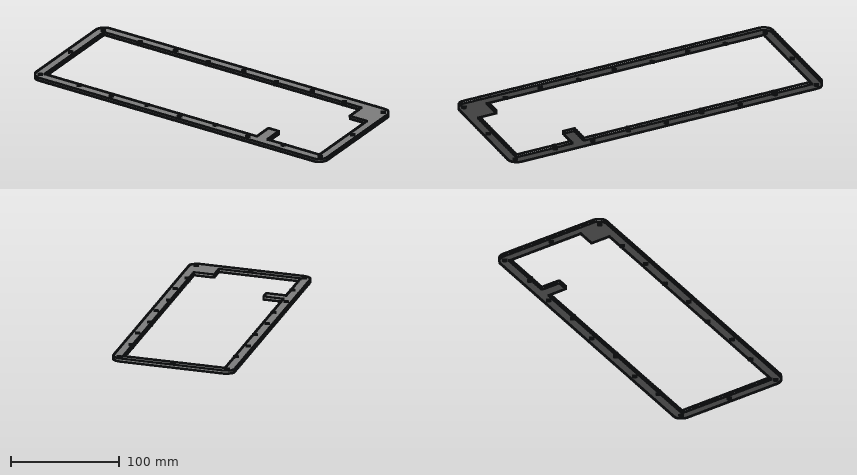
import cadquery as cq
import math

length = 324.0
footprint_depth = 114.3
thickness = 3.08
tilt = 3.0
tilt_rad = math.radians(tilt)
depth = (footprint_depth - thickness * math.sin(tilt_rad)) / math.cos(tilt_rad)
corner_radius = 9.0
rail_width = 9.0

pad_reach = 28.2
tab_length = 18.8
tab_width = 11.5
tab_center_x = 89.0

hole_diameter = 3.2
lug_hole_diameter = 3.1
lug_diameter = 4.2
plain_hole_pitch = 76.0
lug_x_inner = 38.0
lug_x_outer = 113.7
corner_hole_inset = 6.0
side_hole_inset = 5.0
rail_hole_inset = 5.0
lug_hole_inset = 7.5

half_length = length / 2
half_depth = depth / 2


def block(x_min, x_max, y_min, y_max):
    """Full-thickness rectangular block between the given limits."""
    return cq.Workplane("XY").box(
        x_max - x_min, y_max - y_min, thickness, centered=False
    ).translate((x_min, y_min, 0))


def cylinders(points, diameter):
    """Full-thickness cylinders at the given points."""
    return cq.Workplane("XY").pushPoints(points).circle(diameter / 2).extrude(thickness)


def mirrored_rows(x_positions, inset):
    """Points in two rows, set in from the front and back edges."""
    row_y = half_depth - inset
    return [(x, y) for x in x_positions for y in (-row_y, row_y)]


corner_x = half_length - corner_hole_inset
side_x = half_length - side_hole_inset
plain_points = mirrored_rows([-corner_x, corner_x], corner_hole_inset)
plain_points += mirrored_rows([-plain_hole_pitch, 0, plain_hole_pitch], rail_hole_inset)
plain_points += [(-side_x, 0), (side_x, 0)]
lug_points = mirrored_rows([-lug_x_outer, -lug_x_inner, lug_x_inner, lug_x_outer], lug_hole_inset)

frame = cq.Workplane("XY").rect(length, depth).extrude(thickness).edges("|Z").fillet(corner_radius)
window_x = half_length - rail_width
window_y = half_depth - rail_width
frame = frame.cut(block(-window_x, window_x, -window_y, window_y))

pad = block(half_length - pad_reach, window_x, half_depth - pad_reach, window_y)

tab = block(
    tab_center_x - tab_width / 2, tab_center_x + tab_width / 2,
    -window_y, tab_length - window_y,
)
frame = frame.union(pad).union(tab)

frame = frame.union(cylinders(lug_points, lug_diameter))

frame = frame.cut(cylinders(plain_points, hole_diameter))
frame = frame.cut(cylinders(lug_points, lug_hole_diameter))

result = frame.rotate((0, 0, 0), (1, 0, 0), tilt)